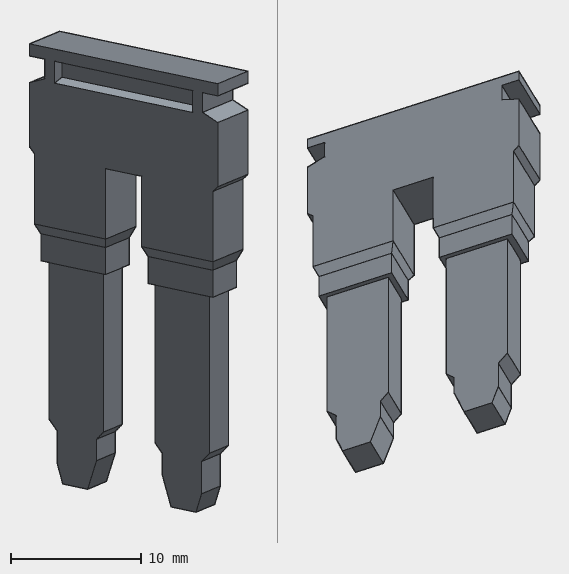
import cadquery as cq

height = 35.15
width = 17.8
depth = 4.0

cap_thickness = 1.0
neck_half_width = 7.45
neck_bottom_z = 32.6
shoulder_top_z = 32.02
shoulder_bottom_z = 26.85

leg_top_z = 26.4
leg_bottom_z = 20.75
leg_outer_x = 8.45
leg_inner_x = 1.7

pocket_width = 13.0
pocket_depth = 0.95
pocket_front_floor_z = 32.4
pocket_back_floor_z = 32.65

collar_inset = 0.3
collar_depth = 3.15
collar_top_z = 19.9
collar_bottom_z = 17.7

pin_depth = 2.5
pin_outer_x = 7.6
pin_inner_x = 2.43
pin_outer_shoulder_z = 5.0
pin_inner_shoulder_z = 4.9
tip_top_z = 4.2
tip_outer_x = 6.82
tip_inner_x = 3.1
tip_outer_taper_z = 1.58
tip_inner_taper_z = 2.45
tip_end_outer_x = 6.3
tip_end_inner_x = 3.95

half_width = width / 2
cap_bottom_z = height - cap_thickness
leg_width = leg_outer_x - leg_inner_x
leg_center_x = (leg_outer_x + leg_inner_x) / 2
collar_width = leg_width - 2 * collar_inset


def extrude_profile(points, thickness):
    """Extrude a closed XZ outline symmetrically about Y = 0."""
    return cq.Workplane("XZ").polyline(points).close().extrude(thickness / 2, both=True)


def make_body():
    right_side = [
        (leg_inner_x, leg_top_z),
        (leg_inner_x, leg_bottom_z),
        (leg_outer_x, leg_bottom_z),
        (leg_outer_x, leg_top_z),
        (half_width, shoulder_bottom_z),
        (half_width, shoulder_top_z),
        (neck_half_width, neck_bottom_z),
        (neck_half_width, cap_bottom_z),
        (half_width, cap_bottom_z),
        (half_width, height),
    ]
    left_side = [(-x, z) for x, z in reversed(right_side)]
    return extrude_profile(right_side + left_side, depth)


def make_pocket():
    front_y = -depth / 2
    back_y = front_y + pocket_depth
    section = [
        (front_y, pocket_front_floor_z),
        (back_y, pocket_back_floor_z),
        (back_y, cap_bottom_z),
        (front_y, cap_bottom_z),
    ]
    return cq.Workplane("YZ").polyline(section).close().extrude(pocket_width / 2, both=True)


def make_collar():
    taper = (
        cq.Workplane("XY", origin=(leg_center_x, 0, leg_bottom_z))
        .rect(leg_width, depth)
        .workplane(offset=collar_top_z - leg_bottom_z)
        .rect(collar_width, collar_depth)
        .loft(ruled=True)
    )
    band = (
        cq.Workplane("XY", origin=(leg_center_x, 0, collar_bottom_z))
        .rect(collar_width, collar_depth)
        .extrude(collar_top_z - collar_bottom_z)
    )
    return taper.union(band)


def make_pin():
    outline = [
        (pin_inner_x, collar_bottom_z),
        (pin_outer_x, collar_bottom_z),
        (pin_outer_x, pin_outer_shoulder_z),
        (tip_outer_x, tip_top_z),
        (tip_outer_x, tip_outer_taper_z),
        (tip_end_outer_x, 0),
        (tip_end_inner_x, 0),
        (tip_inner_x, tip_inner_taper_z),
        (tip_inner_x, tip_top_z),
        (pin_inner_x, pin_inner_shoulder_z),
    ]
    return extrude_profile(outline, pin_depth)


right_prong = make_collar().union(make_pin())
left_prong = right_prong.mirror("YZ")

result = make_body().cut(make_pocket()).union(right_prong).union(left_prong)